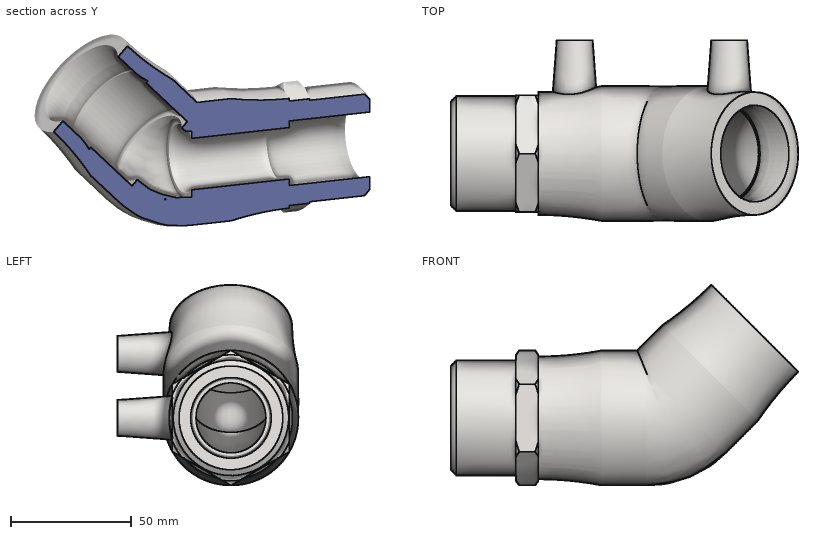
import cadquery as cq
import math

overall_length = 144.0
bend_angle = 45.0
bend_radius = 18.0
body_radius = 28.0
end_radius = 25.5
arm_length = 52.5
barrel_length = 26.3

thread_radius = 47.8 / 2
thread_chamfer = 2.4
thread_length = 27.0
hex_corner_radius = 28.0
hex_chamfer_length = 1.4
hex_chamfer_depth = 1.9

post_offset = 37.5
post_height = 47.0
post_root_height = 20.0
post_tip_radius = 7.5
post_root_radius = 9.5

inlet_radius = 33.46 / 2
nipple_bore_radius = 29.0 / 2
bend_bore_radius = 34.0 / 2
socket_radius = 40.0 / 2
socket_depth = 44.0
mouth_depth = 11.7
groove_length = 6.1
groove_depth = 0.9

tangent_length = bend_radius * math.tan(math.radians(bend_angle / 2))
outlet_reach = (arm_length + end_radius) * math.sin(math.radians(bend_angle))
crossing_x = overall_length - outlet_reach
inlet_arm_end = crossing_x - arm_length
socket_floor = arm_length - socket_depth


def revolve_about_x(profile):
    """Close an outline drawn on the XY plane and revolve it about the X axis."""
    return profile.close().revolve(360, (0, 0, 0), (1, 0, 0))


def cylinder_along_x(radius, start, end):
    return cq.Workplane("YZ", origin=(start, 0, 0)).circle(radius).extrude(end - start)


def to_outlet_arm(shape):
    """Move a shape built about the X axis, with the axis crossing at X = 0, onto the bent arm."""
    turned = shape.rotate((0, 0, 0), (0, 1, 0), -bend_angle)
    return turned.translate((crossing_x, 0, 0))


def to_inlet_arm(shape):
    """Mirror a shape built like an outlet arm onto the straight inlet arm."""
    return shape.mirror("YZ").translate((crossing_x, 0, 0))


def arm_shape():
    """Barrel and flared taper of one arm; the taper leaves the end face parallel to the axis."""
    taper_length = arm_length - barrel_length
    taper_drop = body_radius - end_radius
    arc_radius = (taper_length**2 + taper_drop**2) / (2 * taper_drop)
    half_sweep = math.asin(taper_length / arc_radius) / 2
    arc_mid = (
        arm_length - arc_radius * math.sin(half_sweep),
        end_radius + arc_radius * (1 - math.cos(half_sweep)),
    )
    profile = (
        cq.Workplane("XY")
        .moveTo(tangent_length, 0)
        .lineTo(tangent_length, body_radius)
        .lineTo(barrel_length, body_radius)
        .threePointArc(arc_mid, (arm_length, end_radius))
        .lineTo(arm_length, 0)
    )
    return revolve_about_x(profile)


def bend(radius):
    """Round pipe bend; a section that reaches past the pivot line is cut off at that line."""
    section = cq.Workplane("YZ", origin=(crossing_x - tangent_length, 0, 0))
    if radius > bend_radius:
        half_chord = math.sqrt(radius**2 - bend_radius**2)
        section = (
            section.moveTo(-half_chord, bend_radius)
            .threePointArc((0, -radius), (half_chord, bend_radius))
            .close()
        )
    else:
        section = section.circle(radius)
    swept = section.revolve(bend_angle, (0, bend_radius, 0), (-1, bend_radius, 0))
    return cq.Workplane(swept.val().toNURBS())


def threaded_nipple():
    """Plain cylinder for the inlet thread, chamfered at its free end."""
    profile = (
        cq.Workplane("XY")
        .lineTo(0, thread_radius - thread_chamfer)
        .lineTo(thread_chamfer, thread_radius)
        .lineTo(inlet_arm_end, thread_radius)
        .lineTo(inlet_arm_end, 0)
    )
    return revolve_about_x(profile)


def hexagon():
    """Hexagon with corners on +Z and -Z, its corners turned down at both faces."""
    prism = (
        cq.Workplane("YZ", origin=(thread_length, 0, 0))
        .transformed(rotate=(0, 0, 90))
        .polygon(6, 2 * hex_corner_radius)
        .extrude(inlet_arm_end - thread_length)
    )
    turned = cylinder_along_x(hex_corner_radius, thread_length, inlet_arm_end)
    turned = turned.edges("%CIRCLE").chamfer(hex_chamfer_length, hex_chamfer_depth)
    return prism.intersect(turned)


def post():
    """Tapered terminal post whose centreline meets the arm axis, rooted inside the wall."""
    profile = (
        cq.Workplane("XY")
        .moveTo(0, post_root_height)
        .lineTo(post_root_radius, post_root_height)
        .lineTo(post_tip_radius, post_height)
        .lineTo(0, post_height)
        .close()
    )
    return profile.revolve(360, (0, 0, 0), (0, 1, 0)).translate((post_offset, 0, 0))


def outlet_socket():
    """Outlet socket with a groove that widens inward from the plain mouth."""
    groove_start = arm_length - mouth_depth
    groove_end = groove_start - groove_length
    profile = (
        cq.Workplane("XY")
        .moveTo(socket_floor, 0)
        .lineTo(socket_floor, socket_radius)
        .lineTo(groove_end, socket_radius)
        .lineTo(groove_end, socket_radius + groove_depth)
        .lineTo(groove_start, socket_radius)
        .lineTo(arm_length, socket_radius)
        .lineTo(arm_length, 0)
    )
    return revolve_about_x(profile)


arm = arm_shape().union(post())
result = (
    bend(body_radius)
    .union(to_inlet_arm(arm))
    .union(to_outlet_arm(arm))
    .union(threaded_nipple())
    .union(hexagon())
)

bend_lead = cylinder_along_x(bend_bore_radius, tangent_length, socket_floor)
result = (
    result.cut(cylinder_along_x(inlet_radius, 0, inlet_arm_end))
    .cut(cylinder_along_x(nipple_bore_radius, inlet_arm_end, crossing_x - socket_floor))
    .cut(to_inlet_arm(bend_lead))
    .cut(bend(bend_bore_radius))
    .cut(to_outlet_arm(bend_lead))
    .cut(to_outlet_arm(outlet_socket()))
)